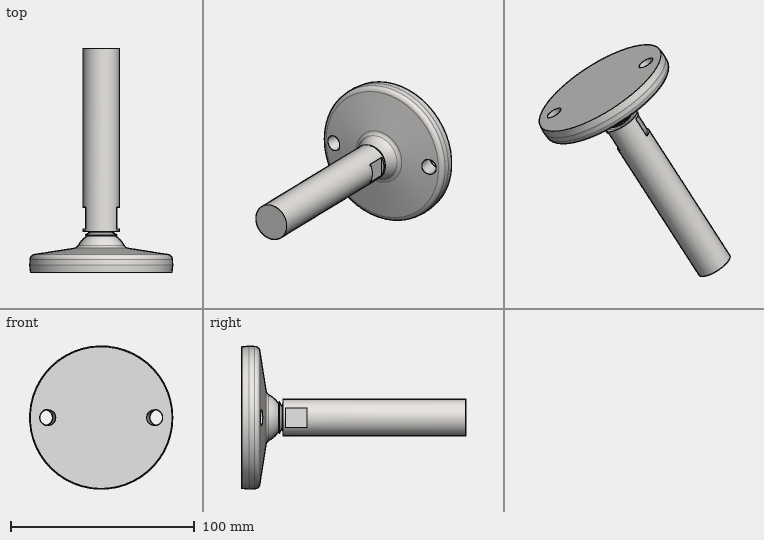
import cadquery as cq
import math

TOTAL_LENGTH = 122.0

FOOT_RADIUS = 78.0 / 2
FOOT_UNDERSIDE_RADIUS = 38.5
SHOULDER_RADIUS = 38.8
WIDEST_HEIGHT = 4.1
SHOULDER_HEIGHT = 7.1
RIM_ROUND = 2.9
SLOPE_ANGLE = math.radians(8.9)

DOME_BASE_RADIUS = 12.6
DOME_TOP_RADIUS = 7.8
DOME_TOP_HEIGHT = 20.0
DOME_SPHERE_CENTER = 8.2
DOME_ROOT_RADIUS = 14.8

HOLE_DIAMETER = 8.5
HOLE_SPACING = 58.1
HOLE_CUT_LENGTH = 48.8

STEM_DIAMETER = 20.0
STEM_BASE_HEIGHT = 22.5
COLLAR_RADIUS = 8.7
COLLAR_HEIGHT = 20.6
NECK_RADIUS = 6.5
NECK_HEIGHT = 21.7
NECK_GROOVE_WIDTH = 0.5
STEM_BEVEL_RADIUS = 8.0

FLATS_WIDTH = 17.0
FLATS_START = 23.9
FLATS_LENGTH = 11.6


def revolve_about_y(profile):
    return profile.close().revolve(360, (0, 0, 0), (0, 1, 0))


def make_foot_blank():
    round_center = SHOULDER_RADIUS - RIM_ROUND

    def rim_point(angle):
        return (round_center + RIM_ROUND * math.cos(angle), SHOULDER_HEIGHT + RIM_ROUND * math.sin(angle))

    end_angle = math.pi / 2 - SLOPE_ANGLE
    slope_start = rim_point(end_angle)
    slope_rise = (slope_start[0] - DOME_ROOT_RADIUS) * math.tan(SLOPE_ANGLE)
    dome_root = (DOME_ROOT_RADIUS, slope_start[1] + slope_rise)

    sphere_radius = math.hypot(DOME_TOP_RADIUS, DOME_TOP_HEIGHT - DOME_SPHERE_CENTER)

    def sphere_point(radius):
        return (radius, DOME_SPHERE_CENTER + math.sqrt(sphere_radius**2 - radius**2))

    profile = (
        cq.Workplane("XY")
        .lineTo(FOOT_UNDERSIDE_RADIUS, 0)
        .lineTo(FOOT_RADIUS, WIDEST_HEIGHT)
        .lineTo(SHOULDER_RADIUS, SHOULDER_HEIGHT)
        .threePointArc(rim_point(end_angle / 2), slope_start)
        .lineTo(*dome_root)
        .tangentArcPoint(sphere_point(DOME_BASE_RADIUS), relative=False)
        .threePointArc(
            sphere_point((DOME_BASE_RADIUS + DOME_TOP_RADIUS) / 2),
            (DOME_TOP_RADIUS, DOME_TOP_HEIGHT),
        )
        .lineTo(0, DOME_TOP_HEIGHT)
    )
    return revolve_about_y(profile)


def make_mounting_hole(side):
    """Cutter for one hole; side is +1 or -1 along X. It leans outward towards the top."""
    direction = cq.Vector(side * math.sin(SLOPE_ANGLE), math.cos(SLOPE_ANGLE), 0)
    underside_center = cq.Vector(side * HOLE_SPACING / 2, 0, 0)
    start = underside_center - direction * (HOLE_CUT_LENGTH / 2)
    return cq.Solid.makeCylinder(HOLE_DIAMETER / 2, HOLE_CUT_LENGTH, start, direction)


def make_foot():
    foot = make_foot_blank()
    for side in (-1, 1):
        foot = foot.cut(cq.Workplane(make_mounting_hole(side)))
    return foot


def make_stem():
    stem_radius = STEM_DIAMETER / 2
    profile = (
        cq.Workplane("XY")
        .moveTo(0, DOME_TOP_HEIGHT)
        .lineTo(DOME_TOP_RADIUS, DOME_TOP_HEIGHT)
        .lineTo(COLLAR_RADIUS, COLLAR_HEIGHT)
        .lineTo(NECK_RADIUS, NECK_HEIGHT)
        .tangentArcPoint((NECK_RADIUS, NECK_HEIGHT + NECK_GROOVE_WIDTH), relative=False)
        .lineTo(STEM_BEVEL_RADIUS, STEM_BASE_HEIGHT)
        .lineTo(stem_radius, STEM_BASE_HEIGHT)
        .lineTo(stem_radius, TOTAL_LENGTH)
        .lineTo(0, TOTAL_LENGTH)
    )
    stem = revolve_about_y(profile)

    flat_cutter = cq.Workplane("XY").box(STEM_DIAMETER, FLATS_LENGTH, STEM_DIAMETER)
    cutter_offset = (FLATS_WIDTH + STEM_DIAMETER) / 2
    for side in (-1, 1):
        stem = stem.cut(flat_cutter.translate((side * cutter_offset, FLATS_START + FLATS_LENGTH / 2, 0)))
    return stem


foot = make_foot()
stem = make_stem()
result = cq.Compound.makeCompound([foot.val(), stem.val()])